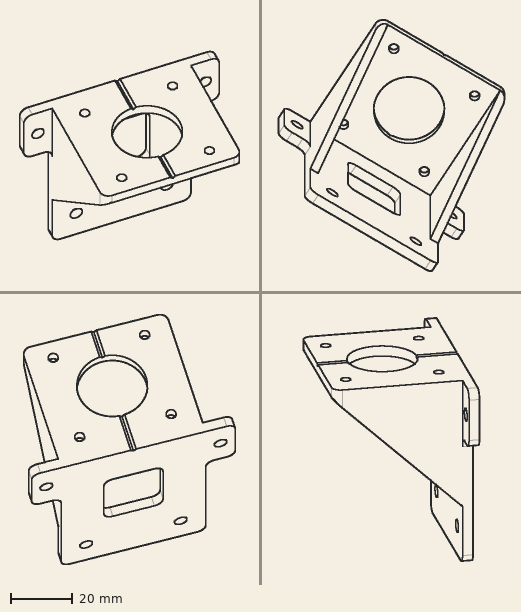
import cadquery as cq

bracket_depth = 46.5
ear_span = 69.0
bracket_height = 64.0
body_width = 49.0
plate_thickness = 3.5
corner_radius = 3.0

ear_height = 20.0
mount_hole_diameter = 4.2
ear_hole_spacing = 59.0
ear_hole_drop = 10.0
lower_hole_spacing = 32.0
lower_hole_rise = 10.0
window_width = 20.0
window_height = 24.0
window_top_drop = 15.95

motor_axis_x = 25.0
motor_bore_diameter = 23.0
motor_screw_spacing = 31.0
motor_screw_diameter = 3.2
groove_width = 1.8
groove_depth = 0.8

gusset_thickness = 3.0
gusset_height = 44.0


def make_upright_plate():
    """T-shaped mounting plate with rounded corners."""
    body = (
        cq.Workplane("XY")
        .box(plate_thickness, body_width, bracket_height, centered=(False, True, False))
        .translate((0, 0, -bracket_height))
    )
    ears = (
        cq.Workplane("XY")
        .box(plate_thickness, ear_span, ear_height, centered=(False, True, False))
        .translate((0, 0, -ear_height))
    )
    return body.union(ears).edges("|X").fillet(corner_radius)


def make_motor_shelf():
    """Motor plate and its two triangular gussets, rounded at the free corners."""
    wedge = (
        cq.Workplane("XZ")
        .polyline([
            (0, 0),
            (bracket_depth, 0),
            (bracket_depth, -plate_thickness),
            (plate_thickness, -gusset_height),
            (0, -gusset_height),
        ])
        .close()
        .extrude(body_width / 2, both=True)
        .edges("|Z and >X")
        .fillet(corner_radius)
    )
    space_between_gussets = (
        cq.Workplane("XY")
        .box(
            bracket_depth,
            body_width - 2 * gusset_thickness,
            bracket_height,
            centered=(False, True, False),
        )
        .translate((plate_thickness, 0, -plate_thickness - bracket_height))
    )
    return wedge.cut(space_between_gussets)


def make_mount_cutters():
    """Screw holes and rounded window through the upright plate."""
    hole_points = []
    for side in (-1, 1):
        hole_points.append((side * ear_hole_spacing / 2, -ear_hole_drop))
        hole_points.append((side * lower_hole_spacing / 2, lower_hole_rise - bracket_height))
    holes = (
        cq.Workplane("YZ")
        .pushPoints(hole_points)
        .circle(mount_hole_diameter / 2)
        .extrude(plate_thickness)
    )
    window = (
        cq.Workplane("YZ")
        .center(0, -window_top_drop - window_height / 2)
        .rect(window_width, window_height)
        .extrude(plate_thickness)
        .edges("|X")
        .fillet(corner_radius)
    )
    return holes.union(window)


def make_motor_cutters():
    """Central bore and four screw holes through the motor plate."""
    center = cq.Workplane("XY").center(motor_axis_x, 0)
    bore = center.circle(motor_bore_diameter / 2).extrude(-plate_thickness)
    screws = (
        cq.Workplane("XY")
        .center(motor_axis_x, 0)
        .rect(motor_screw_spacing, motor_screw_spacing, forConstruction=True)
        .vertices()
        .circle(motor_screw_diameter / 2)
        .extrude(-plate_thickness)
    )
    return bore.union(screws)


def make_groove_cutter():
    """V groove along the centre line of the top face."""
    return (
        cq.Workplane("YZ")
        .polyline([(-groove_width / 2, 0), (0, -groove_depth), (groove_width / 2, 0)])
        .close()
        .extrude(bracket_depth)
    )


result = (
    make_upright_plate()
    .union(make_motor_shelf())
    .cut(make_mount_cutters())
    .cut(make_motor_cutters())
    .cut(make_groove_cutter())
)